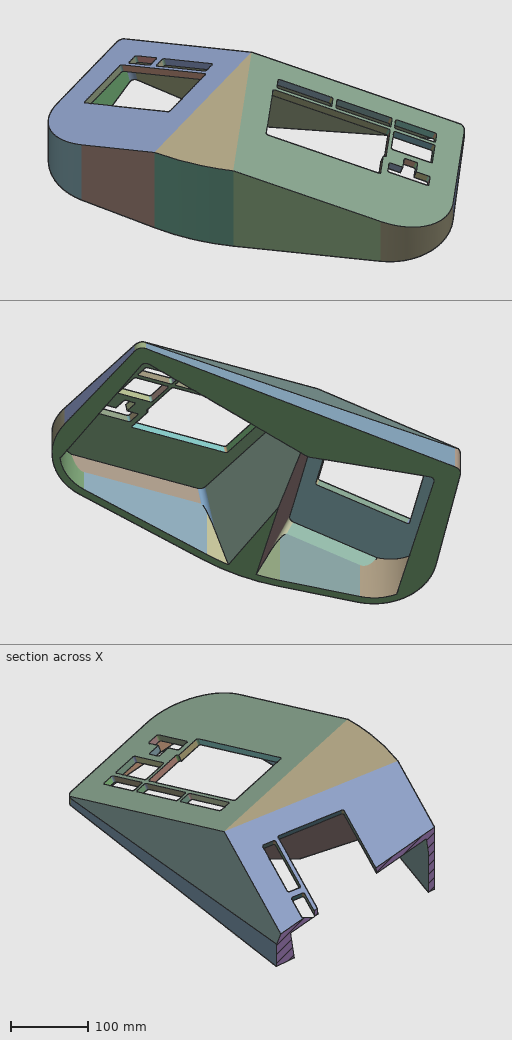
import cadquery as cq
import math


APEX_HEIGHT = 106.5
PANEL_DEPTH = 249.3
LEFT_WIDTH = 203.5
RIGHT_WIDTH = 293.8
FRONT_RISE = math.tan(math.radians(7.65))
LEFT_SWEEP = 12.95
RIGHT_SWEEP = 12.03
LEFT_DROP = 0.347
RIGHT_DROP = 0.342

PANEL_THICKNESS = 10.0
WALL_THICKNESS = 10.0
CAVITY_MARGIN = 15.0
CAVITY_RADIUS = 7.0
FRONT_CORNER_RADIUS = 82.0
REAR_CORNER_RADIUS = 12.0

OPENING_RADIUS = 2.5
SLOT_V = (35.5, 54.0)
SCREEN_V = (59.5, 154.0)
LEFT_SCREEN_U = (35.0, 167.0)
LEFT_SLOTS_U = ((39.0, 116.0), (125.0, 158.5))
RIGHT_SCREEN_U = (35.3, 193.0)
RIGHT_SLOTS_U = ((40.0, 115.5), (121.0, 197.0), (202.0, 258.5))
SCREEN_STEP_U = 196.8
SCREEN_STEP_V = 117.0
RIGHT_COLUMN_U = (202.0, 258.5)
KEYPAD_V = (60.0, 97.5)
ARROW_BAR_V = (126.0, 145.0)
ARROW_STEM_U = (221.0, 239.5)
ARROW_STEM_REAR_V = 107.0

OVERLAP = 5.0
BIG = 1000.0

APEX = cq.Vector(0, 0, APEX_HEIGHT)


class Wing:
    """Rectangular panel frame: along points outward, forward toward the front edge."""

    def __init__(self, side, sweep, drop, width):
        sweep_angle = math.radians(sweep)
        rear_angle = sweep_angle - math.asin(drop * FRONT_RISE)
        along = cq.Vector(side * math.cos(rear_angle), math.sin(rear_angle), -drop)
        forward = cq.Vector(side * math.sin(sweep_angle), -math.cos(sweep_angle), FRONT_RISE)
        self.along = along.normalized()
        self.forward = forward.normalized()
        self.width = width

    def point(self, u, v):
        return APEX + self.along * u + self.forward * v


LEFT = Wing(-1, LEFT_SWEEP, LEFT_DROP, LEFT_WIDTH)
RIGHT = Wing(1, RIGHT_SWEEP, RIGHT_DROP, RIGHT_WIDTH)


def flat(point):
    return cq.Vector(point.x, point.y, 0)


def crossing(p, p_direction, q, q_direction):
    """Plan point where two lines meet."""
    gap = q - p
    reach = gap.cross(q_direction).z / p_direction.cross(q_direction).z
    return p + p_direction * reach


def rounded_outline(corners):
    """Closed plan outline through (corner, radius) pairs, every corner rounded by an arc."""
    arcs = []
    for index, (corner, radius) in enumerate(corners):
        to_previous = (corners[index - 1][0] - corner).normalized()
        to_next = (corners[(index + 1) % len(corners)][0] - corner).normalized()
        half_angle = to_previous.getAngle(to_next) / 2
        tangent_length = radius / math.tan(half_angle)
        bisector = (to_previous + to_next).normalized()
        middle = corner + bisector * (radius / math.sin(half_angle) - radius)
        arcs.append((corner + to_previous * tangent_length, middle, corner + to_next * tangent_length))
    last_end = arcs[-1][2]
    outline = cq.Workplane("XY").moveTo(last_end.x, last_end.y)
    for start, middle, end in arcs:
        outline = outline.lineTo(start.x, start.y)
        outline = outline.threePointArc((middle.x, middle.y), (end.x, end.y))
    return outline.close()


def console_outline():
    left_inner = flat(LEFT.point(0, PANEL_DEPTH))
    right_inner = flat(RIGHT.point(0, PANEL_DEPTH))
    nose = crossing(left_inner, flat(LEFT.along), right_inner, flat(RIGHT.along))
    to_left = left_inner - nose
    half_angle = to_left.getAngle(right_inner - nose) / 2
    nose_radius = to_left.Length * math.tan(half_angle)
    return rounded_outline([
        (flat(LEFT.point(LEFT_WIDTH, 0)), REAR_CORNER_RADIUS),
        (flat(LEFT.point(LEFT_WIDTH, PANEL_DEPTH)), FRONT_CORNER_RADIUS),
        (nose, nose_radius),
        (flat(RIGHT.point(RIGHT_WIDTH, PANEL_DEPTH)), FRONT_CORNER_RADIUS),
        (flat(RIGHT.point(RIGHT_WIDTH, 0)), REAR_CORNER_RADIUS),
    ])


def space_below(first, second):
    """Half-space below the plane through the apex and two points."""
    normal = (first - APEX).cross(second - APEX).normalized()
    if normal.z < 0:
        normal = normal * -1
    plane = cq.Plane(APEX, first - APEX, normal)
    return cq.Workplane(plane).rect(BIG, BIG).extrude(-BIG)


def under_roof(body):
    """Trim a body to the four roof planes: both wings, the middle facet and the rear facet."""
    left_rear = LEFT.point(LEFT_WIDTH, 0)
    left_front = LEFT.point(0, PANEL_DEPTH)
    right_rear = RIGHT.point(RIGHT_WIDTH, 0)
    right_front = RIGHT.point(0, PANEL_DEPTH)
    facets = (
        (left_rear, left_front),
        (right_rear, right_front),
        (left_front, right_front),
        (left_rear, right_rear),
    )
    for first, second in facets:
        body = body.intersect(space_below(first, second))
    return body


def panel_prism(wing, u_range, v_range, top, bottom, radius):
    """Rounded rectangular prism square to a panel, between two depths below its surface."""
    centre = wing.point(sum(u_range) / 2, sum(v_range) / 2)
    normal = wing.along.cross(wing.forward)
    if normal.z < 0:
        normal = normal * -1
    plane = cq.Plane(centre - normal * bottom, wing.along, normal)
    prism = (
        cq.Workplane(plane)
        .rect(u_range[1] - u_range[0], v_range[1] - v_range[0])
        .extrude(bottom - top)
    )
    return prism.edges(cq.selectors.ParallelDirSelector(normal)).fillet(radius)


def opening(wing, u_range, v_range):
    """Cutter for an opening through the panel thickness, with some overlap on both sides."""
    return panel_prism(wing, u_range, v_range, -OVERLAP, PANEL_THICKNESS + OVERLAP, OPENING_RADIUS)


def wing_cavity(wing):
    """Hollow under a panel, open at the bottom and inset from the outer walls."""
    u_range = (CAVITY_MARGIN, wing.width - CAVITY_MARGIN)
    v_range = (CAVITY_MARGIN, PANEL_DEPTH - CAVITY_MARGIN)
    hollow = panel_prism(wing, u_range, v_range, PANEL_THICKNESS, BIG, CAVITY_RADIUS)
    return hollow.intersect(console_outline().offset2D(-WALL_THICKNESS).extrude(BIG))


def left_openings():
    cutters = opening(LEFT, LEFT_SCREEN_U, SCREEN_V)
    for slot in LEFT_SLOTS_U:
        cutters = cutters.union(opening(LEFT, slot, SLOT_V))
    return cutters


def right_openings():
    cutters = opening(RIGHT, RIGHT_SCREEN_U, SCREEN_V)
    step_u = (RIGHT_SCREEN_U[0], SCREEN_STEP_U)
    cutters = cutters.union(opening(RIGHT, step_u, (SCREEN_V[0], SCREEN_STEP_V)))
    for slot in RIGHT_SLOTS_U:
        cutters = cutters.union(opening(RIGHT, slot, SLOT_V))
    cutters = cutters.union(opening(RIGHT, RIGHT_COLUMN_U, KEYPAD_V))
    stem_v = (ARROW_STEM_REAR_V, ARROW_BAR_V[1])
    cutters = cutters.union(opening(RIGHT, RIGHT_COLUMN_U, ARROW_BAR_V))
    return cutters.union(opening(RIGHT, ARROW_STEM_U, stem_v))


result = under_roof(console_outline().extrude(BIG))
for wing in (LEFT, RIGHT):
    result = result.cut(wing_cavity(wing))
result = result.cut(left_openings()).cut(right_openings())